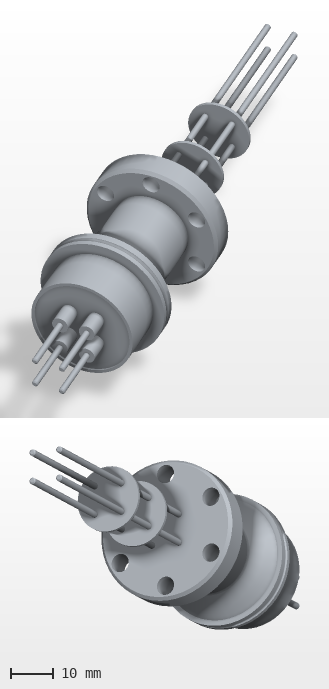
import cadquery as cq
import math

total_length = 133.35

flange_diameter = 33.78
flange_thickness = 7.25
flange_chamfer = 0.75
bolt_count = 6
bolt_circle_diameter = 27.0
bolt_hole_diameter = 4.4
first_bolt_angle = 90.0

neck_diameter = 19.05
neck_length = 18.2
cone_end_diameter = 29.2
cone_length = 5.4
neck_to_cone_radius = 1.0

ring_diameter = 31.75
ring_rear_land = 1.75
groove_width = 1.15
groove_depth = 0.5
ring_front_land = 1.25

cup_diameter = 26.0
cup_length = 11.7
rim_width = 0.8
recess_depth = 0.5

pin_pitch = 6.86
pin_diameter = 1.57
pin_chamfer = 0.3
pin_front_reach = 14.5
sleeve_diameter = 4.05
sleeve_projection = 4.9

disc_diameter = 15.7
disc_thickness = 0.8
disc_spacing = 15.24
first_disc_distance = 16.5
disc_count = 2

flange_front_y = -flange_thickness
cone_start_y = flange_front_y - neck_length
ring_rear_y = cone_start_y - cone_length
groove_rear_y = ring_rear_y - ring_rear_land
groove_front_y = groove_rear_y - groove_width
ring_front_y = groove_front_y - ring_front_land
cup_front_y = ring_front_y - cup_length
recess_floor_y = cup_front_y + recess_depth
sleeve_front_y = cup_front_y - sleeve_projection
pin_front_y = sleeve_front_y - pin_front_reach
pin_rear_y = pin_front_y + total_length


def cylinder_along_y(diameter, front_y, rear_y, x=0.0, z=0.0):
    """Solid cylinder parallel to Y, between two stations."""
    base = cq.Workplane("XZ", origin=(x, rear_y, z))
    return base.circle(diameter / 2).extrude(rear_y - front_y)


def make_flange():
    flange = cylinder_along_y(flange_diameter, flange_front_y, 0.0)
    flange = flange.edges().chamfer(flange_chamfer)
    bolt_circle_radius = bolt_circle_diameter / 2
    for index in range(bolt_count):
        angle = math.radians(first_bolt_angle + index * 360.0 / bolt_count)
        x = bolt_circle_radius * math.cos(angle)
        z = bolt_circle_radius * math.sin(angle)
        flange = flange.cut(cylinder_along_y(bolt_hole_diameter, flange_front_y, 0.0, x, z))
    return flange


def make_neck_and_cone():
    """Tube and cone revolved about Y, with a fillet where they meet."""
    neck_radius = neck_diameter / 2
    cone_end_radius = cone_end_diameter / 2
    profile = (
        cq.Workplane("XY")
        .moveTo(0, flange_front_y)
        .lineTo(neck_radius, flange_front_y)
        .lineTo(neck_radius, cone_start_y)
        .lineTo(cone_end_radius, ring_rear_y)
        .lineTo(0, ring_rear_y)
        .close()
    )
    body = profile.revolve(360, (0, 0, 0), (0, 1, 0))
    corner = cq.selectors.BoxSelector(
        (-neck_radius, cone_start_y - neck_to_cone_radius, -neck_radius),
        (neck_radius, cone_start_y + neck_to_cone_radius, neck_radius),
    )
    return body.edges("%CIRCLE").edges(corner).fillet(neck_to_cone_radius)


def make_weld_ring():
    """Ring with a shallow round-bottomed groove in its rim."""
    ring_radius = ring_diameter / 2
    groove_middle_y = (groove_rear_y + groove_front_y) / 2
    profile = (
        cq.Workplane("XY")
        .moveTo(0, ring_rear_y)
        .lineTo(ring_radius, ring_rear_y)
        .lineTo(ring_radius, groove_rear_y)
        .threePointArc((ring_radius - groove_depth, groove_middle_y), (ring_radius, groove_front_y))
        .lineTo(ring_radius, ring_front_y)
        .lineTo(0, ring_front_y)
        .close()
    )
    return profile.revolve(360, (0, 0, 0), (0, 1, 0))


def make_cup():
    cup = cylinder_along_y(cup_diameter, cup_front_y, ring_front_y)
    recess = cylinder_along_y(cup_diameter - 2 * rim_width, cup_front_y, recess_floor_y)
    return cup.cut(recess)


def make_pin(x, z):
    pin = cylinder_along_y(pin_diameter, pin_front_y, pin_rear_y, x, z)
    pin = pin.faces("<Y or >Y").edges().chamfer(pin_chamfer)
    sleeve = cylinder_along_y(sleeve_diameter, sleeve_front_y, recess_floor_y, x, z)
    return pin.union(sleeve)


result = make_flange().union(make_neck_and_cone()).union(make_weld_ring()).union(make_cup())

for x_side in (-1, 1):
    for z_side in (-1, 1):
        result = result.union(make_pin(x_side * pin_pitch / 2, z_side * pin_pitch / 2))

for index in range(disc_count):
    disc_middle_y = first_disc_distance + index * disc_spacing
    disc_front_y = disc_middle_y - disc_thickness / 2
    result = result.union(cylinder_along_y(disc_diameter, disc_front_y, disc_front_y + disc_thickness))